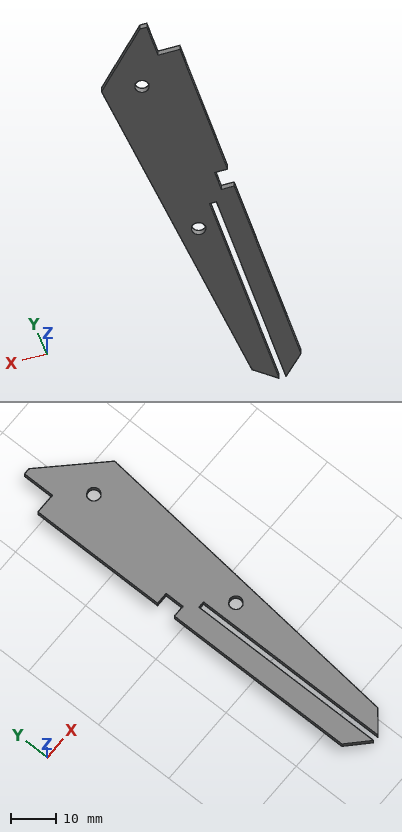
import cadquery as cq

length = 99.5
width = 20.0
thickness = 1.6

slot_left = 5.1
slot_width = 1.6
slot_right = slot_left + slot_width
slot_depth = 49.75

step_height = 8.0
wide_corner_y = 86.0

left_tip_rise = 4.9
right_tip_rise = 4.1
right_tip_x = 11.6

notch_bottom = 52.6
notch_height = 4.8
notch_depth = 3.0

hole_diameter = 3.2
hole_x = 11.0
lower_hole_y = 44.1
upper_hole_y = 84.6

outline = [
    (0, left_tip_rise),
    (slot_left, 0),
    (slot_right, 0),
    (right_tip_x, right_tip_rise),
    (width, wide_corner_y),
    (slot_right, length),
    (slot_left, length),
    (slot_left, length - step_height),
    (0, length - step_height),
]
plate = cq.Workplane("XY").polyline(outline).close().extrude(thickness)

slot = cq.Workplane("XY").box(slot_width, slot_depth, thickness, centered=False)
slot = slot.translate((slot_left, 0, 0))
notch = cq.Workplane("XY").box(notch_depth, notch_height, thickness, centered=False)
notch = notch.translate((0, notch_bottom, 0))

holes = (
    cq.Workplane("XY")
    .pushPoints([(hole_x, lower_hole_y), (hole_x, upper_hole_y)])
    .circle(hole_diameter / 2)
    .extrude(thickness)
)

result = plate.cut(slot).cut(notch).cut(holes)